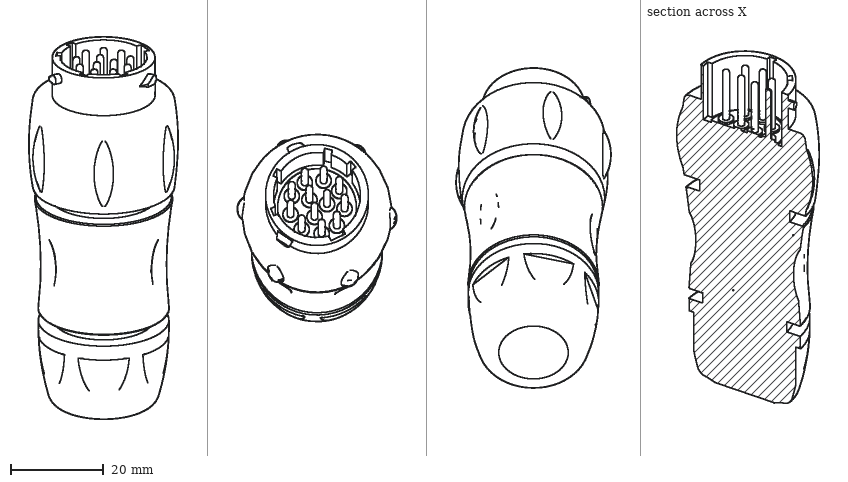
import math

import cadquery as cq


total_height = 81.53
dome_edge_z = 0.7
dome_top_z = 2.6
flat_top_z = 16.4
cap_top_z = 19.7
grip_bottom_z = 22.2
grip_waist_z = 32.6
grip_top_z = 48.6
nut_bottom_z = 51.35
nut_shoulder_z = 71.4
nut_top_z = 72.65

cap_end_radius = 7.5
dome_edge_radius = 9.6
dome_top_radius = 12.0
cap_radius = 14.1
lower_neck_radius = 10.7
grip_bottom_radius = 14.15
grip_waist_radius = 13.6
grip_top_radius = 14.9
grip_edge_bevel = 0.3
upper_neck_radius = 11.4
nut_end_radius = 15.35
nut_belly_radius = 16.15
nut_top_radius = 14.0
shell_radius = 11.1

side_count = 6
side_pitch = 360 / side_count
front_angle = -90
seam_angle = side_pitch / 2

flat_distance = 12.95
flat_end_z = 6.6

rib_peak_radius = 17.25
rib_spindle_radius = 2.4
rib_arc_radius = 20.2
rib_z = 61.1

dimple_z = 35.2
dimple_center_radius = 15.8
dimple_half_width = 3.4
dimple_half_height = 8.1
dimple_lip_radius = 0.65

socket_radius = 9.35
socket_depth = 14.0
keyway_radius = 10.35
master_key_angle = 90
master_key_width = 3.4
minor_key_angles = (-5, 195, 230, 305)
minor_key_width = 1.7
insert_radius = 8.5
insert_height = 0.5

outer_pin_circle = 5.95
outer_pin_angles = (-90, -50, -10, 30, 73.5, 110, 150, 190, 230)
inner_pin_circle = 2.25
inner_pin_angles = (-70, 50, 170)
pin_radius = 0.75
pin_tip_rounding = 0.65
pin_tip_gap = 0.4
pin_seat_radius = 1.65
pin_seat_height = 0.5

lug_angles = (-90, 30)
lug_round_radius = 1.05
lug_z = 79.0
lug_tip_offset = 3.1
lug_tip_drop = 0.9
lug_outer_radius = 12.55
lug_root_radius = 10.5
lug_tip_setback = 1.0

socket_floor_z = total_height - socket_depth
insert_top_z = socket_floor_z + insert_height


def around(solid, angle):
    """Turn a solid about the connector axis."""
    return solid.rotate((0, 0, 0), (0, 0, 1), angle)


def cylinder(radius, bottom_z, top_z, x=0, y=0):
    return cq.Workplane("XY", origin=(x, y, bottom_z)).circle(radius).extrude(top_z - bottom_z)


def make_body():
    """Revolved outside shape of cap, grip, coupling nut and shell."""
    nut_middle_z = (nut_bottom_z + nut_shoulder_z) / 2
    shoulder_bulge = 0.2
    shoulder_mid = (
        (nut_end_radius + nut_top_radius) / 2 + shoulder_bulge,
        (nut_shoulder_z + nut_top_z) / 2 + shoulder_bulge,
    )
    dome_bulge = 0.35
    dome_mid = (
        (dome_edge_radius + dome_top_radius) / 2 + dome_bulge,
        (dome_edge_z + dome_top_z) / 2 - dome_bulge,
    )
    return (
        cq.Workplane("XZ")
        .moveTo(0, 0)
        .lineTo(cap_end_radius, 0)
        .lineTo(dome_edge_radius, dome_edge_z)
        .threePointArc(dome_mid, (dome_top_radius, dome_top_z))
        .threePointArc((flat_distance, flat_end_z), (cap_radius, cap_top_z))
        .lineTo(lower_neck_radius, cap_top_z)
        .lineTo(lower_neck_radius, grip_bottom_z)
        .lineTo(grip_bottom_radius - grip_edge_bevel, grip_bottom_z)
        .lineTo(grip_bottom_radius, grip_bottom_z + grip_edge_bevel)
        .threePointArc(
            (grip_waist_radius, grip_waist_z),
            (grip_top_radius, grip_top_z - grip_edge_bevel),
        )
        .lineTo(grip_top_radius - grip_edge_bevel, grip_top_z)
        .lineTo(upper_neck_radius, grip_top_z)
        .lineTo(upper_neck_radius, nut_bottom_z)
        .lineTo(nut_end_radius, nut_bottom_z)
        .threePointArc((nut_belly_radius, nut_middle_z), (nut_end_radius, nut_shoulder_z))
        .threePointArc(shoulder_mid, (nut_top_radius, nut_top_z))
        .lineTo(shell_radius, nut_top_z)
        .lineTo(shell_radius, total_height)
        .lineTo(0, total_height)
        .close()
        .revolve(360, (0, 0, 0), (0, 1, 0))
        .rotate((0, 0, 0), (0, 0, 1), seam_angle)
    )


def make_cap_flat():
    """Block outside one flat of the cap, on the +X side."""
    block_depth = cap_radius
    return cq.Workplane("XY", origin=(flat_distance, 0, 0)).box(
        block_depth, 2 * cap_radius, flat_top_z, centered=(False, True, False)
    )


def make_rib():
    """Spindle for one nut rib, on the +X side."""
    half_length = math.sqrt(rib_arc_radius**2 - (rib_arc_radius - rib_spindle_radius) ** 2)
    axis_radius = rib_peak_radius - rib_spindle_radius
    return (
        cq.Workplane("XZ", origin=(axis_radius, 0, rib_z))
        .moveTo(0, -half_length)
        .threePointArc((rib_spindle_radius, 0), (0, half_length))
        .close()
        .revolve(360, (0, 0, 0), (0, 1, 0))
    )


def make_dimple():
    """Spheroid that hollows one grip dimple, on the +X side."""
    return (
        cq.Workplane("XZ", origin=(dimple_center_radius, 0, dimple_z))
        .moveTo(0, -dimple_half_height)
        .ellipseArc(dimple_half_width, dimple_half_height, -90, 90, startAtCurrent=True)
        .close()
        .revolve(360, (0, 0, 0), (0, 1, 0))
    )


def round_dimple_lips(body):
    """Fillet the rims of all the dimples while the grip is otherwise plain."""
    rim_span = cq.selectors.BoxSelector(
        (-cap_radius, -cap_radius, dimple_z - dimple_half_height),
        (cap_radius, cap_radius, dimple_z + dimple_half_height),
        boundingbox=True,
    )
    return body.edges(rim_span).fillet(dimple_lip_radius)


def make_keyway(width, angle):
    """Slot along the socket wall, open at the mating face."""
    slot = cq.Workplane("XY", origin=(0, 0, socket_floor_z)).box(
        keyway_radius, width, socket_depth, centered=(False, True, False)
    )
    return around(slot, angle)


def make_socket():
    """Bore with its keyways."""
    socket = cylinder(socket_radius, socket_floor_z, total_height)
    socket = socket.union(make_keyway(master_key_width, master_key_angle))
    for angle in minor_key_angles:
        socket = socket.union(make_keyway(minor_key_width, angle))
    return socket


def pin_centers(circle_radius, degrees):
    angles = [math.radians(angle) for angle in degrees]
    return [(circle_radius * math.cos(a), circle_radius * math.sin(a)) for a in angles]


def make_contacts():
    """Insert on the socket floor with its seats and pins."""
    contacts = cylinder(insert_radius, socket_floor_z, insert_top_z)
    centers = pin_centers(outer_pin_circle, outer_pin_angles)
    centers += pin_centers(inner_pin_circle, inner_pin_angles)
    for x, y in centers:
        seat = cylinder(pin_seat_radius, insert_top_z, insert_top_z + pin_seat_height, x, y)
        pin = cylinder(pin_radius, insert_top_z, total_height - pin_tip_gap, x, y)
        pin = pin.faces(">Z").fillet(pin_tip_rounding)
        contacts = contacts.union(seat).union(pin)
    return contacts


def make_lug():
    """Teardrop stud on the -Y side, its tip pointing to -X and cut back towards the outside."""
    tip_length = math.hypot(lug_tip_offset, lug_tip_drop)
    tip_direction = math.atan2(-lug_tip_drop, -lug_tip_offset)
    tangent_spread = math.acos(lug_round_radius / tip_length)

    def on_round(angle):
        return (lug_round_radius * math.cos(angle), lug_round_radius * math.sin(angle))

    teardrop = (
        cq.Workplane("XZ", origin=(0, 0, lug_z))
        .moveTo(-lug_tip_offset, -lug_tip_drop)
        .lineTo(*on_round(tip_direction + tangent_spread))
        .threePointArc(on_round(tip_direction + math.pi), on_round(tip_direction - tangent_spread))
        .close()
        .extrude(lug_outer_radius)
    )
    plan = (
        cq.Workplane("XY", origin=(0, 0, lug_z - 2 * lug_round_radius))
        .moveTo(-lug_tip_offset, -lug_root_radius)
        .lineTo(-lug_tip_offset + lug_tip_setback, -lug_outer_radius)
        .lineTo(lug_round_radius, -lug_outer_radius)
        .lineTo(lug_round_radius, -lug_root_radius)
        .close()
        .extrude(4 * lug_round_radius)
    )
    envelope = cylinder(lug_outer_radius, 0, total_height)
    return teardrop.intersect(plan).intersect(envelope)


def build():
    body = make_body()
    for i in range(side_count):
        angle = front_angle + i * side_pitch
        body = body.cut(around(make_dimple(), angle))
    body = round_dimple_lips(body)
    for i in range(side_count):
        angle = front_angle + i * side_pitch
        body = body.cut(around(make_cap_flat(), angle))
        body = body.union(around(make_rib(), angle))
    for angle in lug_angles:
        body = body.union(around(make_lug(), angle - front_angle))
    return body.cut(make_socket()).union(make_contacts())


result = build()